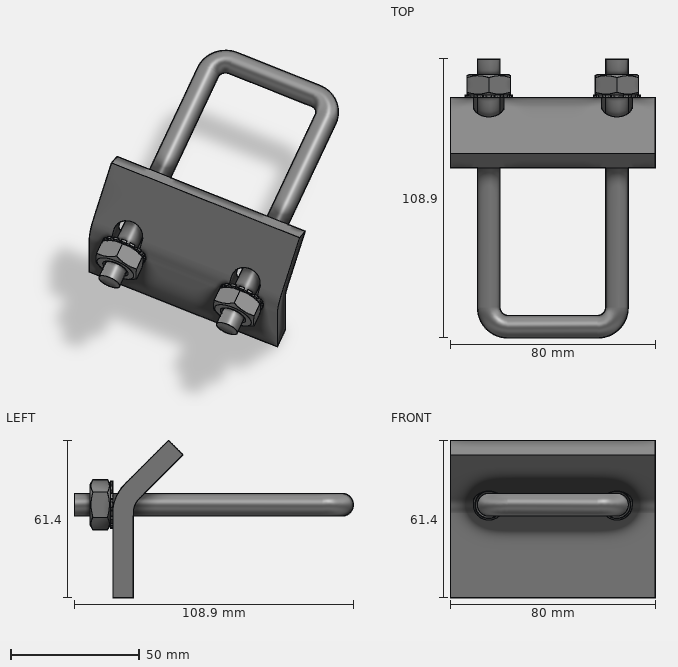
import cadquery as cq
import math

plate_length = 80.0
plate_thickness = 8.0
plate_height = 61.41
bend_angle = math.radians(45)
bend_inner_radius = 8.0
bend_outer_radius = bend_inner_radius + plate_thickness
upright_leg = 33.0
bend_start_z = -3.3

rod_hole_diameter = 12.0
upper_hole_setback = 1.9

rod_diameter = 8.9
rod_spacing = 50.0
rod_bend_radius = 7.5
bolt_length = 108.9
rod_end_y = 15.0

washer_inner_diameter = 10.5
washer_outer_diameter = 18.4
washer_thickness = 0.9
tooth_count = 16
tooth_depth = 2.2
tooth_gap_width = 1.4

nut_across_flats = 17.0
nut_height = 8.0
hexagon_sides = 6
nut_chamfer_angle = math.radians(30)
nut_face_diameter = 15.6
nut_countersink_diameter = 10.8

rod_positions = (-rod_spacing / 2, rod_spacing / 2)


def cylinder_along_y(x, diameter, y_start, y_end):
    """Cylinder on a rod axis, from y_start up to y_end."""
    plane = cq.Plane(origin=(x, y_start, 0), xDir=(1, 0, 0), normal=(0, 1, 0))
    return cq.Workplane(plane).circle(diameter / 2).extrude(y_end - y_start)


def make_rod_hole(x):
    """Cutter for one rod hole: two round bores meeting at an angle, with flat sides between them."""
    cos_bend = math.cos(bend_angle)
    sin_bend = math.sin(bend_angle)
    reach = 2 * bend_outer_radius
    upper_axis_z = bend_start_z + bend_outer_radius * sin_bend - upper_hole_setback * cos_bend
    upper_axis_y = bend_outer_radius * (cos_bend - 1) + upper_hole_setback * sin_bend
    apex_y = upper_axis_y - upper_axis_z / math.tan(bend_angle)

    lower_bore = cylinder_along_y(x, rod_hole_diameter, apex_y, apex_y + reach)
    upper_bore = lower_bore.rotate((x, apex_y, 0), (x + 1, apex_y, 0), math.degrees(bend_angle))
    flat_sides = (
        cq.Workplane("YZ", origin=(x - rod_hole_diameter / 2, 0, 0))
        .moveTo(apex_y, 0)
        .lineTo(apex_y + reach, 0)
        .lineTo(apex_y + reach * cos_bend, reach * sin_bend)
        .close()
        .extrude(rod_hole_diameter)
    )
    return lower_bore.union(upper_bore).union(flat_sides)


def make_plate():
    """Upright leg, 45 degree bend towards -Y and sloping leg, with two rod holes."""
    bend_center_y = -bend_outer_radius
    bottom_z = bend_start_z - upright_leg
    cos_bend = math.cos(bend_angle)
    sin_bend = math.sin(bend_angle)
    tip_rise = plate_height - upright_leg - bend_outer_radius * sin_bend
    sloping_leg = tip_rise / cos_bend

    def bend_point(radius, angle):
        return (
            bend_center_y + radius * math.cos(angle),
            bend_start_z + radius * math.sin(angle),
        )

    def tip_point(radius):
        y, z = bend_point(radius, bend_angle)
        return (y - sloping_leg * sin_bend, z + sloping_leg * cos_bend)

    plate = (
        cq.Workplane("YZ", origin=(-plate_length / 2, 0, 0))
        .moveTo(0, bottom_z)
        .lineTo(0, bend_start_z)
        .threePointArc(
            bend_point(bend_outer_radius, bend_angle / 2),
            bend_point(bend_outer_radius, bend_angle),
        )
        .lineTo(*tip_point(bend_outer_radius))
        .lineTo(*tip_point(bend_inner_radius))
        .lineTo(*bend_point(bend_inner_radius, bend_angle))
        .threePointArc(
            bend_point(bend_inner_radius, bend_angle / 2),
            bend_point(bend_inner_radius, 0),
        )
        .lineTo(-plate_thickness, bottom_z)
        .close()
        .extrude(plate_length)
    )
    for x in rod_positions:
        plate = plate.cut(make_rod_hole(x))
    return plate


def make_u_bolt():
    """Round rod swept along a U-shaped path with rounded corners."""
    half_spacing = rod_spacing / 2
    crossbar_y = rod_end_y - bolt_length + rod_diameter / 2
    bend_y = crossbar_y + rod_bend_radius
    straight_x = half_spacing - rod_bend_radius
    arc_offset = rod_bend_radius / math.sqrt(2)
    path = (
        cq.Workplane("XY")
        .moveTo(-half_spacing, rod_end_y)
        .lineTo(-half_spacing, bend_y)
        .threePointArc((-straight_x - arc_offset, bend_y - arc_offset), (-straight_x, crossbar_y))
        .lineTo(straight_x, crossbar_y)
        .threePointArc((straight_x + arc_offset, bend_y - arc_offset), (half_spacing, bend_y))
        .lineTo(half_spacing, rod_end_y)
    )
    profile = cq.Workplane("XZ", origin=(-half_spacing, rod_end_y, 0)).circle(rod_diameter / 2)
    return profile.sweep(path)


def make_washer(x):
    """Flat ring with radial gaps that leave teeth around its rim."""
    washer = cylinder_along_y(x, washer_outer_diameter, 0, washer_thickness)
    washer = washer.cut(cylinder_along_y(x, washer_inner_diameter, 0, washer_thickness))
    gap = (
        cq.Workplane("XY")
        .box(2 * tooth_depth, washer_thickness, tooth_gap_width, centered=(True, False, True))
        .translate((x + washer_outer_diameter / 2, 0, 0))
    )
    for index in range(tooth_count):
        angle = (index + 0.5) * 360 / tooth_count
        washer = washer.cut(gap.rotate((x, 0, 0), (x, 1, 0), angle))
    return washer


def make_nut(x):
    """Hexagon nut, corners towards +/-Z, with both faces chamfered and countersunk by cones."""
    corner_radius = nut_across_flats / math.sqrt(3)
    face_radius = nut_face_diameter / 2
    chamfer_height = (corner_radius - face_radius) * math.tan(nut_chamfer_angle)
    bore_radius = rod_diameter / 2
    countersink_radius = nut_countersink_diameter / 2
    countersink_depth = (countersink_radius - bore_radius) * math.tan(nut_chamfer_angle)
    hexagon = (
        cq.Workplane("XZ")
        .polygon(hexagon_sides, 2 * corner_radius)
        .extrude(-nut_height)
        .rotate((0, 0, 0), (0, 1, 0), 180 / hexagon_sides)
    )
    turned_envelope = (
        cq.Workplane("XY")
        .moveTo(bore_radius, countersink_depth)
        .lineTo(countersink_radius, 0)
        .lineTo(face_radius, 0)
        .lineTo(corner_radius, chamfer_height)
        .lineTo(corner_radius, nut_height - chamfer_height)
        .lineTo(face_radius, nut_height)
        .lineTo(countersink_radius, nut_height)
        .lineTo(bore_radius, nut_height - countersink_depth)
        .close()
        .revolve(360, (0, 0, 0), (0, 1, 0))
    )
    return hexagon.intersect(turned_envelope).translate((x, washer_thickness, 0))


result = make_plate()
for rod_x in rod_positions:
    result = result.union(make_washer(rod_x)).union(make_nut(rod_x))
result = result.union(make_u_bolt())